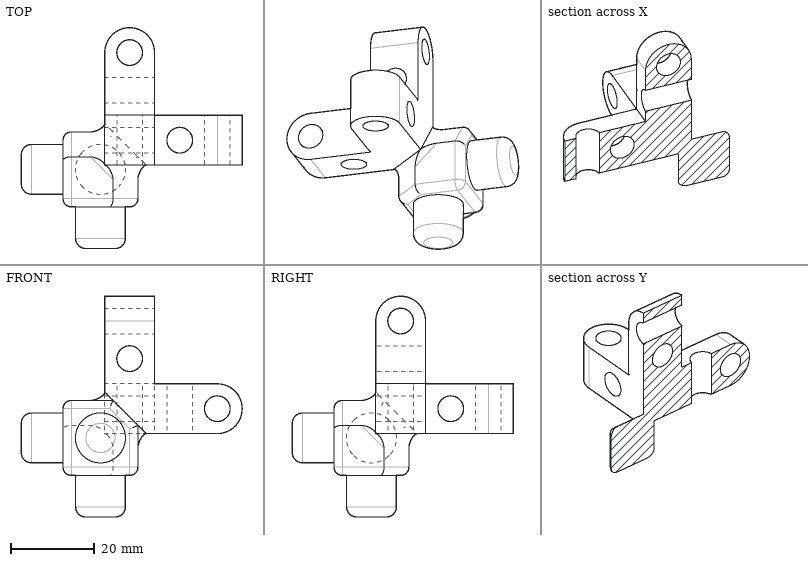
import cadquery as cq
import math


stud_length = 10.0
stud_diameter = 12.0
stud_tip_radius = 2.5
block_size = 18.0
block_chamfer = 6.0
block_edge_radius = 2.0

arm_width = 12.0
arm_start = 20.0
arm_end = 53.0
hole_diameter = 6.1
cross_hole_from_hub = 6.0

corner_fillet_radius = 1.25

block_min = stud_length
block_max = block_min + block_size
block_centre = block_min + block_size / 2
arm_axis = arm_start + arm_width / 2
arm_round_centre = arm_end - arm_width / 2
cross_hole_place = arm_start + arm_width + cross_hole_from_hub
chamfer_start = block_max - block_chamfer
corner_cut = block_max + chamfer_start - 2 * arm_start


def three_ways(shape):
    """Join a shape with its two copies turned about the (1, 1, 1) diagonal."""
    joined = shape
    for angle in (120, 240):
        joined = joined.union(shape.rotate((0, 0, 0), (1, 1, 1), angle))
    return joined


def make_block():
    """Cube with its three far edges chamfered and the edges of its near faces rounded."""
    block = cq.Workplane("XY").box(block_size, block_size, block_size, centered=False)
    block = block.translate((block_min, block_min, block_min))
    block = block.edges("(>X and >Y) or (>Y and >Z) or (>X and >Z)").chamfer(block_chamfer)
    return block.faces("<X or <Y or <Z").edges().fillet(block_edge_radius)


def make_stud():
    """Round-nosed stud pointing along -X, rooted inside the block."""
    stud = (
        cq.Workplane("YZ")
        .center(block_centre, block_centre)
        .circle(stud_diameter / 2)
        .extrude(block_centre)
    )
    return stud.faces("<X").edges().fillet(stud_tip_radius)


def make_arm():
    """Square arm along X with an end rounded about Y."""
    arm_top = arm_start + arm_width
    return (
        cq.Workplane("XZ", origin=(0, arm_start, 0))
        .moveTo(arm_start, arm_start)
        .lineTo(arm_round_centre, arm_start)
        .threePointArc((arm_end, arm_axis), (arm_round_centre, arm_top))
        .lineTo(arm_start, arm_top)
        .close()
        .extrude(-arm_width)
    )


def make_arm_holes():
    """End hole along Y and cross hole along Z through the X arm."""
    end_hole = (
        cq.Workplane("XZ", origin=(0, arm_start, 0))
        .center(arm_round_centre, arm_axis)
        .circle(hole_diameter / 2)
        .extrude(-arm_width)
    )
    cross_hole = (
        cq.Workplane("XY", origin=(0, 0, arm_start))
        .center(cross_hole_place, arm_axis)
        .circle(hole_diameter / 2)
        .extrude(arm_width)
    )
    return end_hole.union(cross_hole)


def make_corner_cutter():
    """Pyramid filling the inner arm corner up to the plane square to the (1, 1, 1) diagonal."""
    corner = (arm_start, arm_start, arm_start)
    tips = [
        (arm_start + corner_cut, arm_start, arm_start),
        (arm_start, arm_start + corner_cut, arm_start),
        (arm_start, arm_start, arm_start + corner_cut),
    ]
    triangles = [
        tips,
        [corner, tips[0], tips[1]],
        [corner, tips[1], tips[2]],
        [corner, tips[2], tips[0]],
    ]
    faces = []
    for triangle in triangles:
        outline = cq.Wire.makePolygon([cq.Vector(*point) for point in triangle], close=True)
        faces.append(cq.Face.makeFromWires(outline))
    return cq.Workplane(cq.Solid.makeSolid(cq.Shell.makeShell(faces)))


def make_corner_fillet():
    """Hollow fillet between the block top and the corner cut, within two chamfer planes."""
    section_plane = cq.Plane(
        origin=(arm_start, arm_start, block_max), xDir=(1, 1, 0), normal=(1, -1, 0)
    )
    opening = math.atan(math.sqrt(2))
    tangent_length = corner_fillet_radius / math.tan(opening / 2)
    foot = (arm_start + corner_cut - block_max) / math.sqrt(2)
    start = foot - tangent_length
    end = (foot - tangent_length * math.cos(opening), tangent_length * math.sin(opening))
    foot_to_arc = corner_fillet_radius / math.sin(opening / 2) - corner_fillet_radius
    middle = (
        foot - foot_to_arc * math.cos(opening / 2),
        foot_to_arc * math.sin(opening / 2),
    )
    fillet = (
        cq.Workplane(section_plane)
        .moveTo(start, 0)
        .threePointArc(middle, end)
        .lineTo(foot, 0)
        .close()
        .extrude(block_size / 2, both=True)
    )
    chamfer_outline = [
        (block_min, block_max),
        (chamfer_start, block_max),
        (block_min, block_max + chamfer_start - block_min),
    ]
    under_x = cq.Workplane("XZ").polyline(chamfer_outline).close().extrude(-arm_end)
    under_y = cq.Workplane("YZ").polyline(chamfer_outline).close().extrude(arm_end)
    return fillet.intersect(under_x).intersect(under_y)


arms = three_ways(make_arm()).cut(make_corner_cutter())

result = (
    make_block()
    .union(three_ways(make_stud()))
    .union(arms)
    .union(three_ways(make_corner_fillet()))
    .cut(three_ways(make_arm_holes()))
)